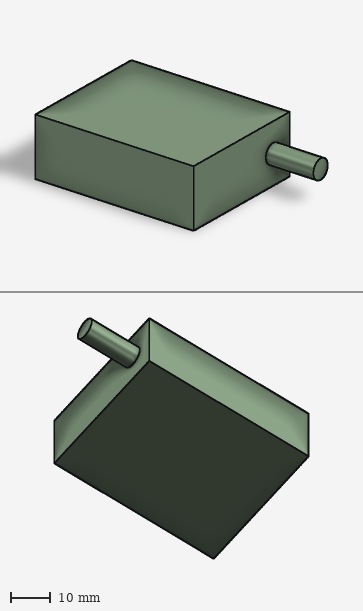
import cadquery as cq

total_length = 65.0
body_length = 50.0
body_width = 40.0
body_height = 18.0
shaft_diameter = 6.0
shaft_inset = 6.95

shaft_length = total_length - body_length
shaft_y = body_width / 2 - shaft_inset


def make_body():
    """Plain block with its -X face at X = 0, centred in Y and Z."""
    return cq.Workplane("XY").box(body_length, body_width, body_height, centered=(False, True, True))


def make_shaft():
    """Round shaft standing out of the +X face at mid height."""
    return (
        cq.Workplane("YZ", origin=(body_length, shaft_y, 0))
        .circle(shaft_diameter / 2)
        .extrude(shaft_length)
    )


result = make_body().union(make_shaft())